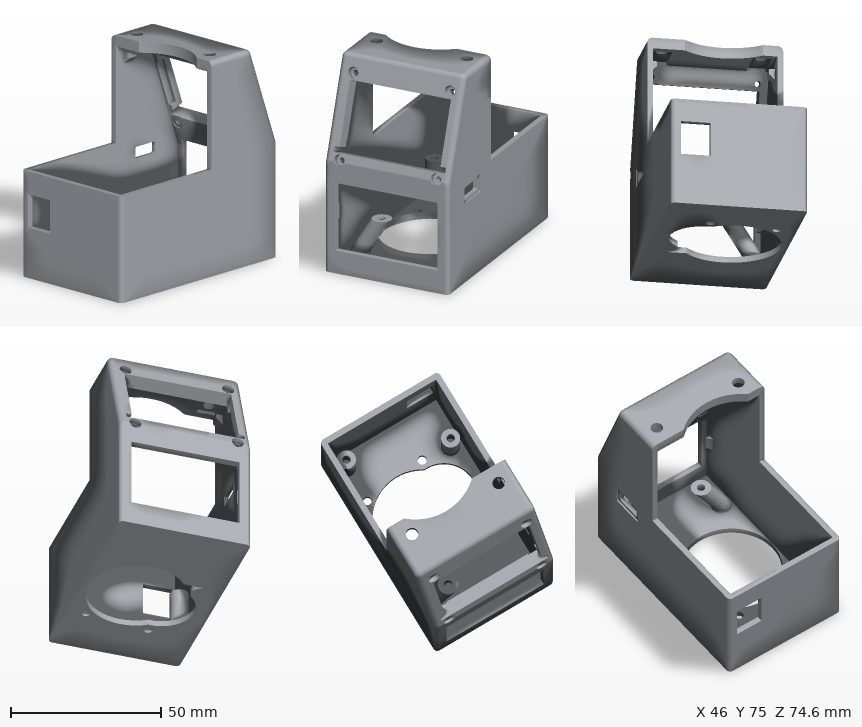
import cadquery as cq
import math


WIDTH = 46.0
LENGTH = 74.95
HEIGHT = 74.6
WALL = 2.0
ROOF = 3.75
FRONT_HEIGHT = 36.95
TOWER_FRONT = 43.2
UPPER_RADIUS = 1.9
CORNER_RADIUS = 1.5
INNER_BACK = LENGTH - WALL
INNER_TOP = HEIGHT - ROOF
OVERCUT = 0.75

SLOPE_ANGLE = math.radians(20)
SLOPE_START = 40.3
PANEL = 5.2
DISPLAY_X = 22.6

WINDOW_WIDTH = 37.5
WINDOW_LOW = 3.1
WINDOW_HIGH = 27.8
NOTCH_WIDTH = 41.5
NOTCH_HEIGHT = 2.0
GROOVE_WIDTH = 1.0
GROOVE_LOW = 7.05
GROOVE_HIGH = 24.5
GROOVE_DEPTH = 2.6

SCREW_SPACING = 35.9
SCREW_LOW = 0.6
SCREW_HIGH = 30.2
SCREW_HOLE = 2.0
SCREW_HEAD = 4.2
HEAD_DEPTH = 1.8
POCKET_HIGH = 7.35
POCKET_WIDTH = 4.5
POCKET_DEPTH = 0.4

ROOF_ARC_X = 26.0
ROOF_ARC_Y = 28.6
ROOF_ARC_RADIUS = 19.65
ROOF_SCREWS_X = (6.1, 39.65)
ROOF_SCREW_Y = 49.1
ROOF_SCREW_HOLE = 4.2
RELIEF_WIDTH = 6.6
RELIEF_BACK = 58.4
RELIEF_HEIGHT = 1.2
TAB_REACH = 2.0
TAB_FRONT = 47.2
TAB_LENGTH = 3.75
TAB_TOP = 67.85
TAB_HEIGHT = 3.75

PORT_X, PORT_Z = 3.15, 17.5
PORT_WIDTH, PORT_HEIGHT = 10.1, 11.6
BACK_INSET = 4.1
BACK_DEPTH = 4.05
BACK_LOW, BACK_HIGH = 8.25, 32.7
SLOT_Y, SLOT_Z = 57.35, 31.7
SLOT_LENGTH, SLOT_HEIGHT = 9.45, 4.1
SLOT_RIM = 1.2
SLOT_RIM_DEPTH = 0.5
SLOT_RADIUS = 0.7

CATCH_REACH = 1.65
CATCH_FRONT, CATCH_BACK = 69.3, 71.35
CATCH_LOW, CATCH_HIGH = 18.6, 23.75

MAIN_DISCS = ((27.0, 35.6, 16.9), (26.6, 34.1, 16.65))
LOBE = (16.65, 31.4, 11.3)
PAD_X, PAD_Y, PAD_RADIUS = 6.1, 42.3, 4.0
PAD_CUT_LEFT, PAD_CUT_RIGHT = 7.65, 15.0
PAD_CUT_FRONT = 36.0
FLOOR_HOLES = ((16.5, 17.1, 3.1), (39.2, 19.6, 2.8))

POST_DIAMETER = 6.4
POST_HOLE = 2.8
POST_HOLE_DEPTH = 7.5
POST_TOP = 16.05
UPRIGHT_POSTS = ((6.0, 18.0), (39.4, 6.4))
LEANING_DIAMETER = 6.8
LEANING_TOP = (32.2, 60.0)
LEANING_FOOT = (40.25, 59.7)
FOOT_HEIGHT = 1.1


def box(x, y, z):
    """Box spanning the three (low, high) ranges."""
    return (
        cq.Workplane("XY")
        .box(x[1] - x[0], y[1] - y[0], z[1] - z[0], centered=False)
        .translate((x[0], y[0], z[0]))
    )


def disc(x, y, diameter, low, high):
    """Vertical cylinder from height low to height high."""
    return cq.Workplane("XY", (x, y, low)).circle(diameter / 2).extrude(high - low)


def mirrored(body):
    """The body together with its mirror image across the middle of the width."""
    return body.union(body.mirror("YZ", (WIDTH / 2, 0, 0)))


def side_profile(points, start, width):
    """Outline of (Y, Z) points extruded along X."""
    return cq.Workplane("YZ", (start, 0, 0)).polyline(points).close().extrude(width)


def slope_plane(depth):
    """Plane at a depth inside the panel: x along X, y up the slope, z inwards."""
    cosine, sine = math.cos(SLOPE_ANGLE), math.sin(SLOPE_ANGLE)
    origin = (DISPLAY_X, LENGTH - depth * cosine, SLOPE_START - depth * sine)
    return cq.Workplane(cq.Plane(origin=origin, xDir=(1, 0, 0), normal=(0, -cosine, -sine)))


def slope_box(x, height, depth):
    """Box in the slope's own directions, given as three (low, high) ranges."""
    return (
        slope_plane(depth[0])
        .center((x[0] + x[1]) / 2, (height[0] + height[1]) / 2)
        .rect(x[1] - x[0], height[1] - height[0])
        .extrude(depth[1] - depth[0])
    )


def slope_disc(x, height, diameter, depth):
    """Cylinder square to the slope, spanning the (outer, inner) depths."""
    return slope_plane(depth[0]).center(x, height).circle(diameter / 2).extrude(depth[1] - depth[0])


def round_edges(body, middles, radius):
    """Fillet the edges whose middle points are nearest to the given points."""
    edges = body.newObject([])
    for middle in middles:
        edges = edges.add(body.edges(cq.selectors.NearestToPointSelector(middle)))
    return edges.fillet(radius)


def make_shell():
    lean = math.tan(SLOPE_ANGLE)
    outer_top_y = LENGTH - (HEIGHT - SLOPE_START) * lean
    outline = [
        (0, 0),
        (LENGTH, 0),
        (LENGTH, SLOPE_START),
        (outer_top_y, HEIGHT),
        (TOWER_FRONT, HEIGHT),
        (TOWER_FRONT, FRONT_HEIGHT),
        (0, FRONT_HEIGHT),
    ]
    shell = side_profile(outline, 0, WIDTH)
    middle_slope = ((LENGTH + outer_top_y) / 2, (SLOPE_START + HEIGHT) / 2)
    middle_roof = ((TOWER_FRONT + outer_top_y) / 2, HEIGHT)
    upper_edges = [(WIDTH / 2, outer_top_y, HEIGHT)]
    corner_edges = []
    for x in (0, WIDTH):
        upper_edges += [(x, *middle_slope), (x, *middle_roof)]
        corner_edges += [(x, 0, FRONT_HEIGHT / 2), (x, LENGTH, SLOPE_START / 2)]
    shell = round_edges(shell, upper_edges, UPPER_RADIUS)
    shell = round_edges(shell, corner_edges, CORNER_RADIUS)

    inner_slope_y = LENGTH - PANEL / math.cos(SLOPE_ANGLE)
    inner_bend = SLOPE_START - (INNER_BACK - inner_slope_y) / lean
    inner_top_y = inner_slope_y - (INNER_TOP - SLOPE_START) * lean
    cavity = [
        (WALL, WALL),
        (INNER_BACK, WALL),
        (INNER_BACK, inner_bend),
        (inner_top_y, INNER_TOP),
        (WALL, INNER_TOP),
    ]
    return shell.cut(side_profile(cavity, WALL, WIDTH - 2 * WALL))


def display_cuts():
    half = WINDOW_WIDTH / 2
    through = (-OVERCUT, PANEL + OVERCUT)
    cuts = slope_box((-half, half), (WINDOW_LOW, WINDOW_HIGH), through)
    half_notch = NOTCH_WIDTH / 2
    cuts = cuts.union(
        slope_box((-half_notch, half_notch), (WINDOW_LOW, WINDOW_LOW + NOTCH_HEIGHT), through)
    )
    groove_depth = (PANEL - GROOVE_DEPTH, PANEL)
    cuts = cuts.union(slope_box((-half - GROOVE_WIDTH, -half), (GROOVE_LOW, GROOVE_HIGH), groove_depth))

    pocket_depth = (PANEL - POCKET_DEPTH, PANEL)
    for x in (-SCREW_SPACING / 2, SCREW_SPACING / 2):
        for height in (SCREW_LOW, SCREW_HIGH):
            cuts = cuts.union(slope_disc(x, height, SCREW_HOLE, through))
            cuts = cuts.union(slope_disc(x, height, SCREW_HEAD, (-OVERCUT, HEAD_DEPTH)))
        side = POCKET_WIDTH / 2
        cuts = cuts.union(slope_box((x - side, x + side), (SCREW_LOW, POCKET_HIGH), pocket_depth))
        cuts = cuts.union(slope_disc(x, SCREW_LOW, POCKET_WIDTH, pocket_depth))
    return cuts


def corner_tabs():
    tab_outline = [
        (WALL, TAB_TOP),
        (WALL + TAB_REACH, TAB_TOP),
        (WALL + TAB_REACH, TAB_TOP - TAB_HEIGHT + TAB_REACH),
        (WALL, TAB_TOP - TAB_HEIGHT),
    ]
    tab = cq.Workplane("XZ", (0, TAB_FRONT, 0)).polyline(tab_outline).close().extrude(-TAB_LENGTH)
    return mirrored(tab)


def roof_cuts():
    cuts = disc(ROOF_ARC_X, ROOF_ARC_Y, 2 * ROOF_ARC_RADIUS, INNER_TOP - OVERCUT, HEIGHT + OVERCUT)
    half = RELIEF_WIDTH / 2
    for x in ROOF_SCREWS_X:
        screw = disc(x, ROOF_SCREW_Y, ROOF_SCREW_HOLE, INNER_TOP, HEIGHT + OVERCUT)
        relief = box(
            (x - half, x + half),
            (ROOF_SCREW_Y - half, RELIEF_BACK),
            (INNER_TOP - OVERCUT, INNER_TOP + RELIEF_HEIGHT),
        )
        cuts = cuts.union(screw).union(relief)
    return cuts


def wall_cuts():
    port = box((PORT_X, PORT_X + PORT_WIDTH), (-OVERCUT, WALL + OVERCUT), (PORT_Z, PORT_Z + PORT_HEIGHT))
    back = box((BACK_INSET, WIDTH - BACK_INSET), (LENGTH - BACK_DEPTH, LENGTH + OVERCUT), (BACK_LOW, BACK_HIGH))

    def side_slot(margin, depth):
        length, height = SLOT_LENGTH + 2 * margin, SLOT_HEIGHT + 2 * margin
        block = box(
            (-OVERCUT, depth),
            (SLOT_Y - length / 2, SLOT_Y + length / 2),
            (SLOT_Z - height / 2, SLOT_Z + height / 2),
        )
        return block.edges("|X").fillet(SLOT_RADIUS)

    return port.union(back).union(side_slot(0, WALL + OVERCUT)).union(side_slot(SLOT_RIM, SLOT_RIM_DEPTH))


def snap_catches():
    catch = (
        cq.Workplane("XY", (0, 0, CATCH_LOW))
        .polyline([(WALL, CATCH_FRONT), (WALL + CATCH_REACH, CATCH_BACK), (WALL, CATCH_BACK)])
        .close()
        .extrude(CATCH_HIGH - CATCH_LOW)
    )
    return mirrored(catch)


def floor_cuts():
    beside_pad = box((PAD_CUT_LEFT, PAD_CUT_RIGHT), (PAD_CUT_FRONT, PAD_Y + PAD_RADIUS), (-OVERCUT, WALL))
    cuts = beside_pad.cut(disc(PAD_X, PAD_Y, 2 * PAD_RADIUS, -OVERCUT, WALL))
    for x, y, radius in MAIN_DISCS + (LOBE,):
        cuts = cuts.union(disc(x, y, 2 * radius, -OVERCUT, WALL))
    for x, y, diameter in FLOOR_HOLES:
        cuts = cuts.union(disc(x, y, diameter, -OVERCUT, WALL))
    return cuts


def leaning_post():
    foot_top = WALL + FOOT_HEIGHT
    foot = disc(*LEANING_FOOT, LEANING_DIAMETER, WALL, foot_top)
    shaft = (
        cq.Workplane("XY", (*LEANING_FOOT, foot_top))
        .circle(LEANING_DIAMETER / 2)
        .workplane(offset=POST_TOP - foot_top)
        .center(LEANING_TOP[0] - LEANING_FOOT[0], LEANING_TOP[1] - LEANING_FOOT[1])
        .circle(LEANING_DIAMETER / 2)
        .loft(ruled=True)
    )
    return foot.union(shaft)


def add_posts(body):
    for x, y in UPRIGHT_POSTS:
        body = body.union(disc(x, y, POST_DIAMETER, WALL, POST_TOP))
    body = body.union(leaning_post())
    for x, y in UPRIGHT_POSTS + (LEANING_TOP,):
        body = body.cut(disc(x, y, POST_HOLE, POST_TOP - POST_HOLE_DEPTH, POST_TOP))
    return body


shell = make_shell().cut(display_cuts()).cut(wall_cuts()).cut(floor_cuts())
result = add_posts(shell.union(corner_tabs()).union(snap_catches()).cut(roof_cuts()))